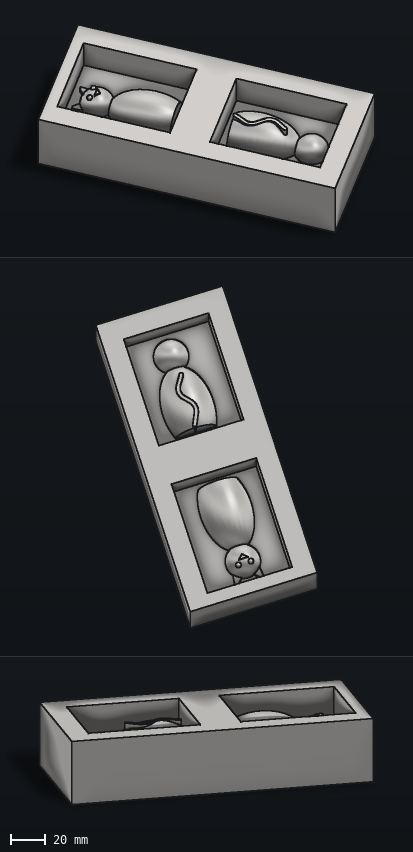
import cadquery as cq

BOX_LENGTH = 177.8
BOX_WIDTH = 76.3
BOX_HEIGHT = 38.0
POCKET_WIDTH = 50.9
FLOOR_Z = BOX_HEIGHT / 2
POCKET_DEPTH = BOX_HEIGHT - FLOOR_Z
FRONT_POCKET_START = -81.5
FRONT_POCKET_LENGTH = 67.5
BACK_POCKET_START = 10.0
BACK_POCKET_LENGTH = 66.0

FRONT_CAT_X = -33.0
FRONT_CAT_Y = -1.0
BACK_CAT_X = 30.5
BACK_CAT_Y = 1.2
BELLY_RADIUS = 15.1
BELLY_HALF_LENGTH = 25.5
BASE_OFFSET = 15.1
HEAD_RADIUS = 10.1
HEAD_OFFSET = 32.0

EYE_RADIUS = 1.6
EYE_FORWARD = 3.4
EYE_SIDE = 3.7
NOSE_BASE_X = -0.9
NOSE_TIP_X = 1.8
NOSE_HALF_WIDTH = 2.8
NOSE_TOP = 10.7
EAR_THICKNESS = 1.8
EAR_OUTER_X = -12.6
EAR_OUTER_Y = 6.8
EAR_CORNER_X = -10.1
EAR_CORNER_Y = 8.5
EAR_SIDE_X = -5.3
EAR_SIDE_Y = 7.8
EAR_INNER_X = -9.2
EAR_INNER_Y = 3.5

TAIL_WIDTH = 2.3
TAIL_TOP = 15.3
TAIL_START = (-14.0, 0.5)
TROUGH_START = (-8.7, -2.0)
TROUGH = (-4.0, -3.0)
TROUGH_END = (0.0, -1.0)
CREST_START = (2.8, 1.5)
CREST = (7.8, 3.4)
CREST_END = (11.4, 2.1)
TAIL_END = (16.4, -1.0)


def make_box():
    """Block with one pocket for each cat half."""
    box = cq.Workplane("XY").box(BOX_LENGTH, BOX_WIDTH, BOX_HEIGHT, centered=(True, True, False))
    pockets = [
        (FRONT_POCKET_START, FRONT_POCKET_LENGTH),
        (BACK_POCKET_START, BACK_POCKET_LENGTH),
    ]
    for start, length in pockets:
        pocket = (
            cq.Workplane("XY", origin=(start, 0, FLOOR_Z))
            .box(length, POCKET_WIDTH, POCKET_DEPTH, centered=(False, True, False))
        )
        box = box.cut(pocket)
    return box


def keep_upper_half(shape):
    """Remove everything below the XY plane, where the cat rests on the floor."""
    size = 2 * BOX_LENGTH
    return shape.intersect(cq.Workplane("XY").box(size, size, size, centered=(True, True, False)))


def make_torso(head_side):
    """Half belly and half head; head_side is -1 or +1 along X."""
    belly = (
        cq.Workplane("XY")
        .ellipseArc(BELLY_HALF_LENGTH, BELLY_RADIUS, 0, 180, startAtCurrent=False)
        .close()
        .revolve(360, (0, 0, 0), (1, 0, 0))
    )
    base_cut = (
        cq.Workplane("XY")
        .box(BELLY_HALF_LENGTH, 2 * BELLY_RADIUS, 2 * BELLY_RADIUS)
        .translate((-head_side * (BASE_OFFSET + BELLY_HALF_LENGTH / 2), 0, 0))
    )
    belly = belly.cut(base_cut)
    head = cq.Workplane("XY").sphere(HEAD_RADIUS).translate((head_side * HEAD_OFFSET, 0, 0))
    return keep_upper_half(belly.union(head))


def make_eye(side):
    """Ball centred on the surface of the head."""
    height = (HEAD_RADIUS**2 - EYE_FORWARD**2 - EYE_SIDE**2) ** 0.5
    return cq.Workplane("XY").sphere(EYE_RADIUS).translate((-EYE_FORWARD, side * EYE_SIDE, height))


def make_nose():
    """Triangular prism rising from inside the head."""
    return (
        cq.Workplane("XY")
        .polyline([(NOSE_BASE_X, -NOSE_HALF_WIDTH), (NOSE_TIP_X, 0), (NOSE_BASE_X, NOSE_HALF_WIDTH)])
        .close()
        .extrude(NOSE_TOP)
    )


def make_ear(side):
    """Flat pointed plate on the floor, running into the head."""
    return (
        cq.Workplane("XY")
        .moveTo(EAR_INNER_X, side * EAR_INNER_Y)
        .lineTo(EAR_OUTER_X, side * EAR_OUTER_Y)
        .lineTo(EAR_OUTER_X, side * EAR_CORNER_Y)
        .lineTo(EAR_CORNER_X, side * EAR_CORNER_Y)
        .lineTo(EAR_SIDE_X, side * EAR_SIDE_Y)
        .close()
        .extrude(EAR_THICKNESS)
    )


def make_front_cat():
    """Cat half with the face, head towards -X."""
    face = make_nose()
    for side in (-1, 1):
        face = face.union(make_eye(side)).union(make_ear(side))
    cat = make_torso(-1).union(face.translate((-HEAD_OFFSET, 0, 0)))
    return cat.translate((FRONT_CAT_X, FRONT_CAT_Y, FLOOR_Z))


def make_tail():
    """Wavy strip with round ends, rising from inside the belly."""
    line = (
        cq.Workplane("XY")
        .moveTo(*TAIL_START)
        .lineTo(*TROUGH_START)
        .threePointArc(TROUGH, TROUGH_END)
        .lineTo(*CREST_START)
        .threePointArc(CREST, CREST_END)
        .lineTo(*TAIL_END)
    )
    return line.offset2D(TAIL_WIDTH / 2).extrude(TAIL_TOP)


def make_back_cat():
    """Cat half with the tail, head towards +X."""
    cat = make_torso(1).union(make_tail())
    return cat.translate((BACK_CAT_X, BACK_CAT_Y, FLOOR_Z))


mould_box = make_box().solids()
front_cat = make_front_cat().solids()
back_cat = make_back_cat().solids()
result = cq.Compound.makeCompound([mould_box.val(), front_cat.val(), back_cat.val()])